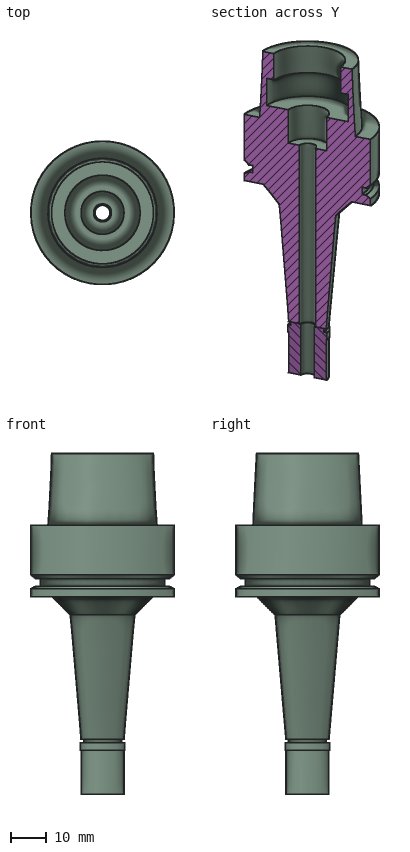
import cadquery as cq

overall_height = 95.0
shank_height = 20.0
flange_height = 20.0
cone_height = 5.0
flange_top = overall_height - shank_height
flange_bottom = flange_top - flange_height
neck_top = flange_bottom - cone_height

nut_radius = 6.0
nut_body_height = 12.2
collar_radius = 6.25
collar_height = 2.2
relief_radius = 5.3
relief_height = 0.9
nut_bore_radius = 2.1
collar_top = nut_body_height + collar_height
nut_height = collar_top + relief_height

neck_tip_radius = 6.0
neck_top_radius = 9.0
cone_top_radius = neck_top_radius + cone_height

flange_radius = 20.0
lower_rim_height = 2.2
groove_radius = 17.4
groove_floor_height = 2.0
groove_floor_bottom = 58.0
groove_floor_top = groove_floor_bottom + groove_floor_height
groove_edge_radius = 18.5
upper_rim_bottom = 61.2

shank_base_radius = 15.2
shank_tip_radius = 14.2

mouth_radius = 10.5
mouth_depth = 8.0
chamber_radius = 12.75
chamber_depth = 16.0
well_radius = 6.0
well_depth = 10.0
through_radius = 2.5


def revolve_profile(points):
    """Turn a closed outline of (radius, height) points around the Z axis."""
    return cq.Workplane("YZ").polyline(points).close().revolve(360, (0, 0, 0), (0, 1, 0))


def cylinder(radius, top, bottom):
    """Solid cylinder on the Z axis between two heights."""
    return cq.Workplane("XY").workplane(offset=bottom).circle(radius).extrude(top - bottom)


def make_holder():
    outside = revolve_profile([
        (0, nut_height),
        (neck_tip_radius, nut_height),
        (neck_top_radius, neck_top),
        (cone_top_radius, flange_bottom),
        (flange_radius, flange_bottom),
        (flange_radius, flange_bottom + lower_rim_height),
        (groove_edge_radius, groove_floor_bottom),
        (groove_radius, groove_floor_bottom),
        (groove_radius, groove_floor_top),
        (groove_edge_radius, groove_floor_top),
        (flange_radius, upper_rim_bottom),
        (flange_radius, flange_top),
        (shank_base_radius, flange_top),
        (shank_tip_radius, overall_height),
        (0, overall_height),
    ])
    mouth_bottom = overall_height - mouth_depth
    chamber_bottom = overall_height - chamber_depth
    return (
        outside
        .cut(cylinder(mouth_radius, overall_height, mouth_bottom))
        .cut(cylinder(chamber_radius, mouth_bottom, chamber_bottom))
        .cut(cylinder(well_radius, chamber_bottom, chamber_bottom - well_depth))
        .cut(cylinder(through_radius, chamber_bottom - well_depth, nut_height))
    )


def make_nut():
    body = cylinder(nut_radius, nut_body_height, 0)
    collar = cylinder(collar_radius, collar_top, nut_body_height)
    relief = cylinder(relief_radius, nut_height, collar_top)
    return body.union(collar).union(relief).cut(cylinder(nut_bore_radius, nut_height, 0))


holder = make_holder()
nut = make_nut()
result = cq.Compound.makeCompound([holder.val(), nut.val()])